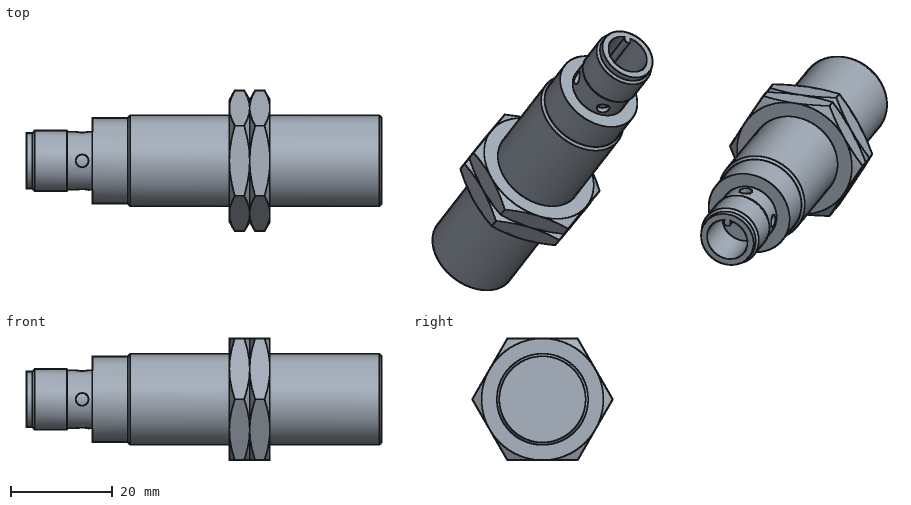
import cadquery as cq
import math

TOTAL_LENGTH = 70.0

PLUG_TIP_DIAMETER = 11.0
PLUG_THREAD_DIAMETER = 12.0
PLUG_NECK_DIAMETER = 11.5
PLUG_TIP_LENGTH = 1.2
PLUG_THREAD_START = 1.7
PLUG_THREAD_END = 7.95
PLUG_NECK_START = 8.1
PLUG_LENGTH = 13.0

COLLAR_DIAMETER = 16.92
COLLAR_END = 20.0

BARREL_DIAMETER = 18.0
BARREL_CHAMFER = 0.5

SOCKET_DIAMETER = 8.4
SOCKET_DEPTH = 9.0
KEY_WIDTH = 1.2
KEY_HEIGHT = 1.2
KEY_EDGE_RADIUS = 0.4

WINDOW_COUNT = 4
WINDOW_DIAMETER = 2.5
WINDOW_FLOOR_DIAMETER = 9.3
WINDOW_X = 11.0

NUT_COUNT = 2
NUT_SIDES = 6
NUT_ACROSS_FLATS = 24.0
NUT_THICKNESS = 4.0
NUT_STACK_START = 40.0
NUT_CHAMFER_ANGLE = 30.0


def make_turned_blank():
    """Solid of revolution with every outside step of the sensor."""
    tip_radius = PLUG_TIP_DIAMETER / 2
    thread_radius = PLUG_THREAD_DIAMETER / 2
    neck_radius = PLUG_NECK_DIAMETER / 2
    collar_radius = COLLAR_DIAMETER / 2
    barrel_radius = BARREL_DIAMETER / 2
    chamfered_radius = barrel_radius - BARREL_CHAMFER
    profile = [
        (0, 0),
        (0, tip_radius),
        (PLUG_TIP_LENGTH, tip_radius),
        (PLUG_THREAD_START, thread_radius),
        (PLUG_THREAD_END, thread_radius),
        (PLUG_NECK_START, neck_radius),
        (PLUG_LENGTH, neck_radius),
        (PLUG_LENGTH, collar_radius),
        (COLLAR_END, collar_radius),
        (COLLAR_END, chamfered_radius),
        (COLLAR_END + BARREL_CHAMFER, barrel_radius),
        (TOTAL_LENGTH - BARREL_CHAMFER, barrel_radius),
        (TOTAL_LENGTH, chamfered_radius),
        (TOTAL_LENGTH, 0),
    ]
    return cq.Workplane("XY").polyline(profile).close().revolve(360, (0, 0, 0), (1, 0, 0))


def make_socket():
    """Round socket cavity with the key rib left standing at +Z."""
    socket_radius = SOCKET_DIAMETER / 2
    bore = cq.Workplane("YZ").circle(socket_radius).extrude(SOCKET_DEPTH)
    key = (
        cq.Workplane("YZ")
        .center(0, socket_radius - KEY_HEIGHT / 2)
        .rect(KEY_WIDTH, KEY_HEIGHT)
        .extrude(SOCKET_DEPTH)
        .edges("|X and <Z")
        .fillet(KEY_EDGE_RADIUS)
    )
    return bore.cut(key)


def make_windows():
    """Radial cutters into the neck, all stopping at a common cylindrical floor."""
    floor_core = (
        cq.Workplane("YZ")
        .circle(WINDOW_FLOOR_DIAMETER / 2)
        .extrude(PLUG_LENGTH)
    )
    cutter = (
        cq.Workplane("XY", origin=(WINDOW_X, 0, 0))
        .circle(WINDOW_DIAMETER / 2)
        .extrude(PLUG_NECK_DIAMETER)
        .cut(floor_core)
    )
    return [
        cutter.rotate((0, 0, 0), (1, 0, 0), index * 360 / WINDOW_COUNT)
        for index in range(WINDOW_COUNT)
    ]


def make_sensor():
    sensor = make_turned_blank().cut(make_socket())
    for window in make_windows():
        sensor = sensor.cut(window)
    return sensor


def make_nut(start_x):
    """Hexagon nut with flats at +Z and -Z, corners chamfered on both end faces."""
    corner_radius = NUT_ACROSS_FLATS / 2 / math.cos(math.pi / NUT_SIDES)
    face_radius = NUT_ACROSS_FLATS / 2
    corner_drop = (corner_radius - face_radius) * math.tan(math.radians(NUT_CHAMFER_ANGLE))
    chamfer_profile = [
        (0, 0),
        (0, face_radius),
        (corner_drop, corner_radius),
        (NUT_THICKNESS - corner_drop, corner_radius),
        (NUT_THICKNESS, face_radius),
        (NUT_THICKNESS, 0),
    ]
    envelope = cq.Workplane("XY").polyline(chamfer_profile).close().revolve(360, (0, 0, 0), (1, 0, 0))
    nut = (
        cq.Workplane("YZ")
        .polygon(NUT_SIDES, 2 * corner_radius)
        .circle(BARREL_DIAMETER / 2)
        .extrude(NUT_THICKNESS)
        .intersect(envelope)
    )
    return nut.translate((start_x, 0, 0))


sensor = make_sensor()
nuts = [make_nut(NUT_STACK_START + index * NUT_THICKNESS) for index in range(NUT_COUNT)]

result = cq.Compound.makeCompound([sensor.val(), *[nut.val() for nut in nuts]])